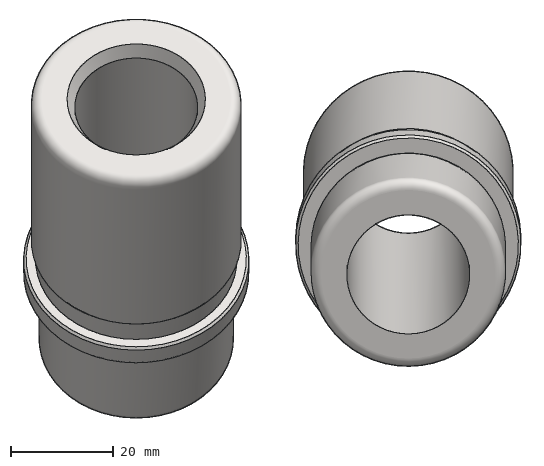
import cadquery as cq
import math

total_height = 80.0
undercut_bottom = 21.0
flange_bottom = 23.0
flange_top = 28.0
neck_top = 33.0

spigot_radius = 19.0
undercut_radius = 18.4
flange_radius = 22.0
neck_radius = 19.7
body_radius = 20.5
bore_radius = 12.0

end_round = 2.0
undercut_round = 2.0
flange_chamfer_width = 0.5
flange_chamfer_height = 0.43
body_taper_height = 1.1
bore_chamfer_width = 1.5
bore_chamfer_angle = 30.0


def revolve_about_axis(half_profile):
    """Turn a closed half-profile into a solid of revolution about Z."""
    return half_profile.revolve(360, (0, 0, 0), (0, 1, 0))


def make_outer_solid():
    """Revolve the outer half-profile, spigot at the bottom and body at the top."""
    flange_rim_radius = flange_radius - flange_chamfer_width
    half_profile = (
        cq.Workplane("XZ")
        .lineTo(spigot_radius, 0)
        .lineTo(spigot_radius, undercut_bottom)
        .radiusArc((undercut_radius, flange_bottom), undercut_round)
        .lineTo(flange_rim_radius, flange_bottom)
        .lineTo(flange_radius, flange_bottom + flange_chamfer_height)
        .lineTo(flange_radius, flange_top - flange_chamfer_height)
        .lineTo(flange_rim_radius, flange_top)
        .lineTo(neck_radius, flange_top)
        .lineTo(neck_radius, neck_top)
        .lineTo(body_radius, neck_top + body_taper_height)
        .lineTo(body_radius, total_height)
        .lineTo(0, total_height)
        .close()
    )
    return revolve_about_axis(half_profile)


def round_ends(solid):
    """Round the outer rims of both end faces."""
    return solid.faces("<Z or >Z").edges().fillet(end_round)


def make_bore():
    """Through bore with a conical lead-in at the top."""
    mouth_radius = bore_radius + bore_chamfer_width
    mouth_depth = bore_chamfer_width / math.tan(math.radians(bore_chamfer_angle))
    half_profile = (
        cq.Workplane("XZ")
        .lineTo(bore_radius, 0)
        .lineTo(bore_radius, total_height - mouth_depth)
        .lineTo(mouth_radius, total_height)
        .lineTo(0, total_height)
        .close()
    )
    return revolve_about_axis(half_profile)


result = round_ends(make_outer_solid()).cut(make_bore())